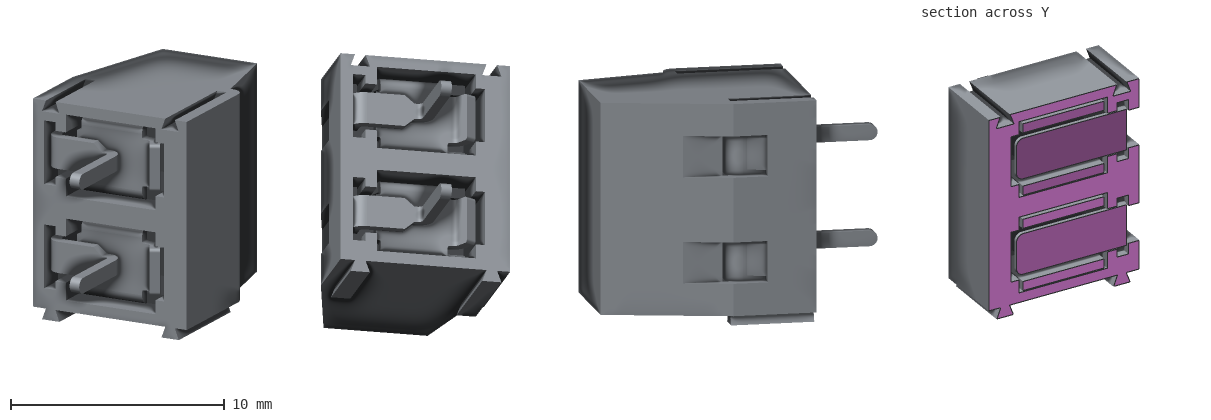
import cadquery as cq
import math


pole_count = 2
housing_width = 8.15
housing_depth = 10.0
housing_height = 10.16
pole_pitch = housing_height / pole_count
sheet = 0.51

left_side_depth = 3.97
roof_left = 1.57
roof_right = 6.57
lip_start = 7.42
lip_side_depth = 5.14
lip_radius = 0.59
lip_top = lip_side_depth + lip_radius

dovetail_height = 0.55
dovetail_neck = 0.51
dovetail_base = 0.92
right_dovetail_length = 5.17
dovetails = [(0.95, left_side_depth), (7.27, right_dovetail_length)]

cavity_depth = 4.37
cavity_left = 1.75
cavity_right = 6.5
cavity_height = 4.0
slot_left = 0.6
slot_right = 1.2
slot_height = 3.11
neck_height = 2.27
side_recess_right = 6.95
side_recess_height = 2.63
window_front = 2.32
window_back = 6.25
window_height = 1.98

wall_height = 3.08
wall_front = 1.38
terminal_back = 4.1
wall_bend_radius = 0.7
tab_height = 2.19
tab_right = 6.67
tab_corner_radius = 0.38
strip_height = 1.53
strip_front = 0.15
taper_start = 3.12
taper_end = 3.59
pin_left = 3.95
pin_reach = 3.75
pin_height = 0.75
pin_bend_radius = 0.23
barb_back = 3.19
barb_rise = 0.23
barb_height = 1.53

cage_drop = 0.05
cage_height = 3.82
cage_front = 0.82
cage_back = terminal_back
plate_left = 2.13
plate_right = 5.35
tongue_left = 1.91
tongue_height = 2.23
root_radius = 0.11
flange_right = 6.31
flange_chamfer_depth = 0.55
spring_start = 5.55
spring_height = 2.28
spring_bend_radius = 0.32
spring_angle = 63.0
spring_length = 0.6
spring_corner_radius = 0.16


def box(x_range, y_range, z_centre, height):
    """Box between two X and two Y limits, centred in Z."""
    width = x_range[1] - x_range[0]
    depth = y_range[1] - y_range[0]
    return (
        cq.Workplane("XY", origin=(x_range[0], y_range[0], z_centre - height / 2))
        .box(width, depth, height, centered=False)
    )


def plan(z_centre, height):
    """XY workplane at the underside of a piece centred in Z."""
    return cq.Workplane("XY", origin=(0, 0, z_centre - height / 2))


def on_circle(centre, radius, degrees):
    angle = math.radians(degrees)
    return (centre[0] + radius * math.cos(angle), centre[1] + radius * math.sin(angle))


def housing_body():
    lip_centre = (housing_width - lip_radius, lip_side_depth)
    return (
        cq.Workplane("XY")
        .moveTo(0, 0)
        .lineTo(housing_width, 0)
        .lineTo(housing_width, lip_side_depth)
        .threePointArc(on_circle(lip_centre, lip_radius, 45), (lip_centre[0], lip_top))
        .lineTo(lip_start, lip_top)
        .lineTo(roof_right, housing_depth)
        .lineTo(roof_left, housing_depth)
        .lineTo(0, left_side_depth)
        .close()
        .extrude(housing_height)
    )


def dovetail(centre_x, length, base_z):
    """Dovetail bar with its wide side down at base_z."""
    return (
        cq.Workplane("XZ", origin=(centre_x, 0, base_z))
        .polyline([
            (-dovetail_base / 2, 0),
            (dovetail_base / 2, 0),
            (dovetail_neck / 2, dovetail_height),
            (-dovetail_neck / 2, dovetail_height),
        ])
        .close()
        .extrude(-length)
    )


def pole_cavity(z):
    """Everything cut from the housing for the pole centred at height z."""
    depth = (0, cavity_depth)
    main = box((cavity_left, cavity_right), depth, z, cavity_height)
    slot = box((slot_left, slot_right), depth, z, slot_height)
    neck = box((slot_right, cavity_left), depth, z, neck_height)
    side_recess = box((cavity_right, side_recess_right), depth, z, side_recess_height)
    window = box((0, slot_left), (window_front, window_back), z, window_height)
    return main.union(slot).union(neck).union(side_recess).union(window)


def make_housing(pole_heights):
    body = housing_body()
    for centre_x, length in dovetails:
        body = body.union(dovetail(centre_x, length, -dovetail_height))
        body = body.cut(dovetail(centre_x, length, housing_height - dovetail_height))
    for z in pole_heights:
        body = body.cut(pole_cavity(z))
    return body


def strip_and_pin(z):
    """Strip that bends off the side wall, crosses the front and turns into the pin."""
    inner_radius = wall_bend_radius - sheet
    wall_bend = (slot_left + wall_bend_radius, strip_front + wall_bend_radius)
    pin_bend = (pin_left - pin_bend_radius, strip_front - pin_bend_radius)
    pin_outer_radius = pin_bend_radius + sheet
    pin_right = pin_left + sheet
    strip_back = strip_front + sheet
    tip_centre_y = pin_height / 2 - pin_reach

    bent_sheet = (
        plan(z, strip_height)
        .moveTo(slot_left, wall_front)
        .lineTo(slot_left, wall_bend[1])
        .threePointArc(
            on_circle(wall_bend, wall_bend_radius, 225), (wall_bend[0], strip_front)
        )
        .lineTo(pin_bend[0], strip_front)
        .threePointArc(on_circle(pin_bend, pin_bend_radius, 45), (pin_left, pin_bend[1]))
        .lineTo(pin_left, tip_centre_y)
        .lineTo(pin_right, tip_centre_y)
        .lineTo(pin_right, pin_bend[1])
        .threePointArc(on_circle(pin_bend, pin_outer_radius, 45), (pin_bend[0], strip_back))
        .lineTo(wall_bend[0], strip_back)
        .threePointArc(
            on_circle(wall_bend, inner_radius, 225), (slot_left + sheet, wall_bend[1])
        )
        .lineTo(slot_left + sheet, wall_front)
        .close()
        .extrude(strip_height)
    )
    front_outline = (
        cq.Workplane("XZ", origin=(0, -pin_reach, z))
        .polyline([
            (slot_left, -strip_height / 2),
            (taper_start, -strip_height / 2),
            (taper_end, -pin_height / 2),
            (pin_right, -pin_height / 2),
            (pin_right, pin_height / 2),
            (taper_end, pin_height / 2),
            (taper_start, strip_height / 2),
            (slot_left, strip_height / 2),
        ])
        .close()
        .extrude(-(pin_reach + wall_front))
    )
    rounded_tip = (
        cq.Workplane("YZ", origin=(pin_left, tip_centre_y, z))
        .circle(pin_height / 2)
        .extrude(sheet)
    )
    return bent_sheet.intersect(front_outline).union(rounded_tip)


def back_tab(z):
    """Tab that bends off the back of the side wall and runs to the right."""
    inner_radius = wall_bend_radius - sheet
    bend = (slot_left + wall_bend_radius, terminal_back - wall_bend_radius)
    return (
        plan(z, tab_height)
        .moveTo(slot_left, bend[1])
        .threePointArc(on_circle(bend, wall_bend_radius, 135), (bend[0], terminal_back))
        .lineTo(tab_right, terminal_back)
        .lineTo(tab_right, terminal_back - sheet)
        .lineTo(bend[0], terminal_back - sheet)
        .threePointArc(on_circle(bend, inner_radius, 135), (slot_left + sheet, bend[1]))
        .close()
        .extrude(tab_height)
        .faces(">X").edges("|Y").fillet(tab_corner_radius)
    )


def barb(z):
    """Wedge on the side wall that catches the front edge of the housing window."""
    return (
        plan(z, barb_height)
        .polyline([
            (slot_left, barb_back),
            (slot_left - barb_rise, window_front),
            (slot_left, window_front),
        ])
        .close()
        .extrude(barb_height)
    )


def make_terminal(z):
    wall = box(
        (slot_left, slot_left + sheet),
        (wall_front, terminal_back - wall_bend_radius),
        z,
        wall_height,
    )
    return wall.union(strip_and_pin(z)).union(back_tab(z)).union(barb(z))


def cage_front_plate(z):
    """Flat front plate, with a tongue on each side and rounded corners at their roots."""
    plate_depth = (cage_front, cage_front + sheet)
    middle = box((plate_left, plate_right), plate_depth, z, cage_height - 2 * sheet)
    left_tongue = box((tongue_left, plate_left), plate_depth, z, tongue_height)
    right_tongue = box((plate_right, spring_start), plate_depth, z, spring_height)
    root_reach = spring_height / 2 + root_radius
    tongue_roots = cq.selectors.BoxSelector(
        (plate_left - root_radius, cage_front, z - root_reach),
        (plate_right + root_radius, cage_front + sheet, z + root_reach),
    )
    plate = middle.union(left_tongue).union(right_tongue)
    return plate.edges("|Y").edges(tongue_roots).fillet(root_radius)


def cage_flanges(z):
    """Top and bottom flanges, bent back from the front plate."""
    flange_front = cage_front + sheet
    bends = (
        box((plate_left, plate_right), (cage_front, cage_back), z, cage_height)
        .faces("<Y").edges("|X").fillet(sheet)
    )
    flanges = (
        plan(z, cage_height)
        .polyline([
            (plate_left, flange_front),
            (flange_right, flange_front),
            (flange_right, cage_back),
            (tongue_left, cage_back),
            (tongue_left, flange_front + flange_chamfer_depth),
        ])
        .close()
        .extrude(cage_height)
    )
    inside = box(
        (tongue_left, flange_right), (cage_front, cage_back), z, cage_height - 2 * sheet
    )
    return bends.union(flanges).cut(inside)


def spring_leg(z):
    """Leg at the right of the cage, bent forward and outward."""
    bend = (spring_start, cage_front - spring_bend_radius)
    outer_radius = spring_bend_radius + sheet
    bend_end = 90 - spring_angle
    bend_middle = 90 - spring_angle / 2
    inner_end = on_circle(bend, spring_bend_radius, bend_end)
    outer_end = on_circle(bend, outer_radius, bend_end)
    inner_tip = on_circle(inner_end, spring_length, -spring_angle)
    outer_tip = on_circle(outer_end, spring_length, -spring_angle)
    across_tip = cq.Vector(*outer_tip) - cq.Vector(*inner_tip)
    return (
        plan(z, spring_height)
        .moveTo(spring_start, cage_front)
        .threePointArc(on_circle(bend, spring_bend_radius, bend_middle), inner_end)
        .lineTo(*inner_tip)
        .lineTo(*outer_tip)
        .lineTo(*outer_end)
        .threePointArc(
            on_circle(bend, outer_radius, bend_middle), (spring_start, cage_front + sheet)
        )
        .close()
        .extrude(spring_height)
        .edges(cq.selectors.ParallelDirSelector(across_tip))
        .fillet(spring_corner_radius)
    )


def make_cage(z):
    return cage_front_plate(z).union(cage_flanges(z)).union(spring_leg(z))


pole_heights = [pole_pitch * (pole + 0.5) for pole in range(pole_count)]
housing = make_housing(pole_heights)
terminals = [make_terminal(z) for z in pole_heights]
cages = [make_cage(z - cage_drop) for z in pole_heights]

result = cq.Compound.makeCompound([
    housing.val(),
    *[terminal.val() for terminal in terminals],
    *[cage.val() for cage in cages],
])